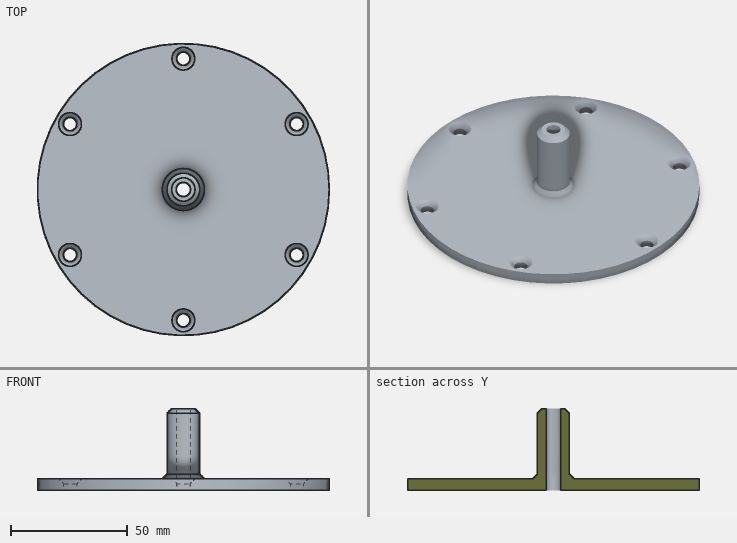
import cadquery as cq

disc_diameter = 125.0
disc_thickness = 5.0

total_height = 35.0
post_diameter = 14.0
post_bore_diameter = 6.0
post_tip_chamfer = 2.0
post_foot_flare = 2.0

screw_count = 6
first_screw_angle = 90.0
screw_circle_radius = 56.0
screw_hole_diameter = 5.6
countersink_diameter = 9.8
countersink_angle = 90.0


def make_disc():
    return cq.Workplane("XY").circle(disc_diameter / 2).extrude(disc_thickness)


def make_post():
    """Revolve the post with its flared foot and chamfered tip, standing on the disc."""
    radius = post_diameter / 2
    profile = [
        (0, 0),
        (radius + post_foot_flare, 0),
        (radius + post_foot_flare, disc_thickness),
        (radius, disc_thickness + post_foot_flare),
        (radius, total_height - post_tip_chamfer),
        (radius - post_tip_chamfer, total_height),
        (0, total_height),
    ]
    return cq.Workplane("XZ").polyline(profile).close().revolve(360, (0, 0), (0, 1))


def drill_post(body):
    bore = cq.Workplane("XY").circle(post_bore_diameter / 2).extrude(total_height)
    return body.cut(bore)


def drill_screw_holes(body):
    """Drill the ring of countersunk holes, the first one on the +Y axis."""
    return (
        body.copyWorkplane(cq.Workplane("XY", origin=(0, 0, disc_thickness)))
        .polarArray(screw_circle_radius, first_screw_angle, 360, screw_count)
        .cskHole(screw_hole_diameter, countersink_diameter, countersink_angle)
    )


result = drill_screw_holes(drill_post(make_disc().union(make_post())))